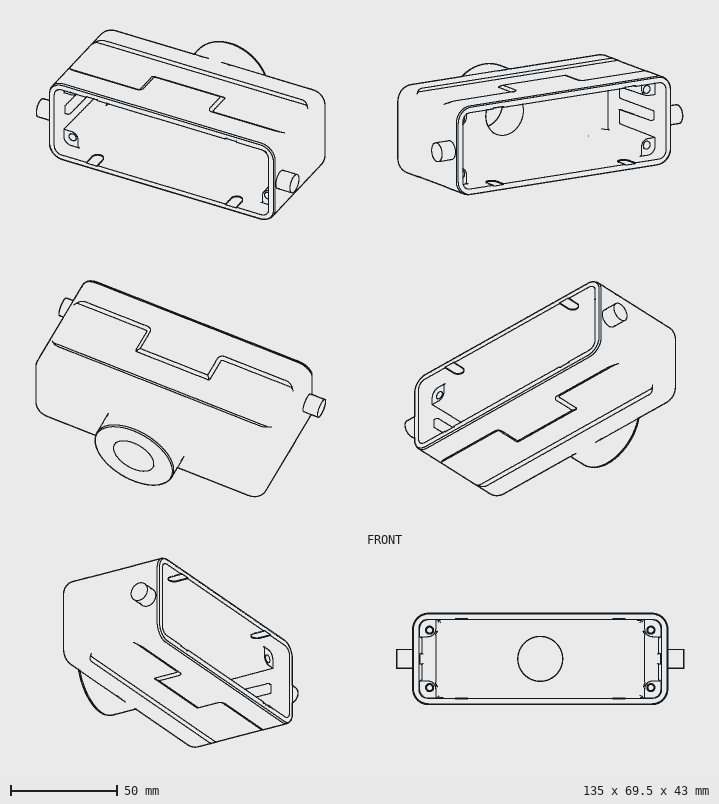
import cadquery as cq
import math

BODY_LENGTH = 120.0
BODY_HEIGHT = 43.0
BODY_DEPTH = 55.0
BODY_CORNER_RADIUS = 7.5
BACK_EDGE_RADIUS = 5.0
RIM_CHAMFER_DEPTH = 1.0
RIM_CHAMFER_WIDTH = 0.4

OVERALL_DEPTH = 69.5
NECK_DIAMETER = 41.0
NECK_BASE_FILLET = 1.0
NECK_CHAMFER_DEPTH = 0.9
NECK_CHAMFER_WIDTH = 0.3
ENTRY_DIAMETER = 21.0

OVERALL_LENGTH = 135.0
PIN_DIAMETER = 9.0
PIN_Y = 6.25

WALL = 3.0
CAVITY_CORNER_RADIUS = 4.0
FLOOR_Y = BODY_DEPTH - 3.5
FLOOR_FILLET = 0.95
FLOOR_HALF_LENGTH = 47.85
SIDE_DRAFT = 0.35
RIM_HALF_LENGTH = BODY_LENGTH / 2 - WALL
RIM_HALF_HEIGHT = BODY_HEIGHT / 2 - WALL
FLOOR_HALF_HEIGHT = RIM_HALF_HEIGHT - SIDE_DRAFT

SHELF_Y = 38.0
SHELF_EDGE_X = 49.1
END_DRAFT = 1.4
SHELF_FILLET = 0.9
SHELF_HALF_LENGTH = RIM_HALF_LENGTH - END_DRAFT
SHELF_HALF_HEIGHT = RIM_HALF_HEIGHT - SIDE_DRAFT * SHELF_Y / FLOOR_Y

BOSS_TIP_Y = 9.0
BOSS_TIP_X = SHELF_EDGE_X
BOSS_TIP_Z = 10.4
BOSS_CORNER_RADIUS = 3.7
BOSS_DRAFT_ANGLE = 1.4
BOSS_WALL_FILLET = 0.8
SCREW_X = 52.0
SCREW_Z = 13.5
SCREW_MOUTH_DIAMETER = 3.8
SCREW_BOTTOM_DIAMETER = 2.9
SCREW_DEPTH = 14.0

RIB_TIP_Y = 10.0
RIB_CENTRE_X = 55.7
RIB_RADIUS = 2.3
RIB_TIP_FILLET = 0.5
RIB_DRAFT_ANGLE = 0.8

NOTCH_X = 37.0
NOTCH_WIDTH = 5.7
NOTCH_LENGTH = 8.6
NOTCH_DEPTH = 0.4

RECESS_DEPTH = 1.0
RECESS_WALL_ANGLE = 60.0
RECESS_FRONT_Y = 14.7
RECESS_BACK_Y = 40.15
TAB_HALF_WIDTH = 19.35
TAB_BACK_Y = 27.8
TAB_CORNER_RADIUS = 0.8
RECESS_END_RADIUS = 3.0
RECESS_FLOOR_Z = BODY_HEIGHT / 2 - RECESS_DEPTH
RECESS_END_X = (
    BODY_LENGTH / 2
    - BODY_CORNER_RADIUS
    + math.sqrt(BODY_CORNER_RADIUS**2 - (BODY_CORNER_RADIUS - RECESS_DEPTH) ** 2)
)

MARGIN = 1.0
EDGE_TOLERANCE = 0.05


def front_plane(y):
    """Plane at depth y whose local axes are X and Z and whose normal points to -Y."""
    return cq.Workplane("XZ", origin=(0, y, 0))


def body():
    """Solid block with rounded long edges, a rounded back and a chamfered front rim."""
    block = front_plane(0).rect(BODY_LENGTH, BODY_HEIGHT).extrude(-BODY_DEPTH)
    block = block.edges("|Y").fillet(BODY_CORNER_RADIUS)
    block = block.faces(">Y").edges().fillet(BACK_EDGE_RADIUS)
    rim = block.faces("<Y")
    return rim.chamfer(RIM_CHAMFER_DEPTH, RIM_CHAMFER_WIDTH)


def add_neck(part):
    """Cable entry neck, blended into the back of the body."""
    neck = front_plane(FLOOR_Y).circle(NECK_DIAMETER / 2).extrude(FLOOR_Y - OVERALL_DEPTH)
    part = part.union(neck)
    base = cq.selectors.BoxSelector(
        (-NECK_DIAMETER, BODY_DEPTH - BACK_EDGE_RADIUS, -BODY_HEIGHT),
        (NECK_DIAMETER, BODY_DEPTH + MARGIN, BODY_HEIGHT),
        boundingbox=True,
    )
    part = part.edges(base).edges("not(|X)").fillet(NECK_BASE_FILLET)
    return part.faces(">Y").chamfer(NECK_CHAMFER_DEPTH, NECK_CHAMFER_WIDTH)


def recess_cutter():
    """U-shaped tool below the upper face; its walls lean outward and its ends run past the body."""
    end_x = BODY_LENGTH
    outline = [
        (-end_x, RECESS_FRONT_Y),
        (-TAB_HALF_WIDTH, RECESS_FRONT_Y),
        (-TAB_HALF_WIDTH, TAB_BACK_Y),
        (TAB_HALF_WIDTH, TAB_BACK_Y),
        (TAB_HALF_WIDTH, RECESS_FRONT_Y),
        (end_x, RECESS_FRONT_Y),
        (end_x, RECESS_BACK_Y),
        (-end_x, RECESS_BACK_Y),
    ]
    floor = cq.Sketch().polygon(outline + outline[:1])
    tab_area = cq.selectors.BoxSelector(
        (-TAB_HALF_WIDTH - MARGIN, RECESS_FRONT_Y - MARGIN, -MARGIN),
        (TAB_HALF_WIDTH + MARGIN, TAB_BACK_Y + MARGIN, MARGIN),
    )
    floor = floor.vertices(tab_area).fillet(TAB_CORNER_RADIUS).reset()
    floor_plane = cq.Workplane("XY", origin=(0, 0, RECESS_FLOOR_Z))
    return floor_plane.placeSketch(floor).extrude(RECESS_DEPTH, taper=-RECESS_WALL_ANGLE)


def cut_recesses(part):
    """Recess both broad faces and round the floor edges that run out into the body corners."""
    upper = recess_cutter()
    part = part.cut(upper).cut(upper.mirror("XY"))
    for end in (-1, 1):
        for face in (-1, 1):
            edge = cq.selectors.NearestToPointSelector(
                (end * RECESS_END_X, (RECESS_FRONT_Y + RECESS_BACK_Y) / 2, face * RECESS_FLOOR_Z)
            )
            part = part.edges("|Y").edges(edge).fillet(RECESS_END_RADIUS)
    return part


def boss(end, side):
    """Drafted block filling one cavity corner, with its free corner rounded."""
    outer_x = BODY_LENGTH / 2
    outer_z = BODY_HEIGHT / 2
    block = front_plane(BOSS_TIP_Y).center(
        end * (BOSS_TIP_X + outer_x) / 2, side * (BOSS_TIP_Z + outer_z) / 2
    )
    section = cq.Sketch().rect(outer_x - BOSS_TIP_X, outer_z - BOSS_TIP_Z)
    free_corner = cq.selectors.NearestToPointSelector((-end * outer_x, -side * outer_x, 0))
    section = section.vertices(free_corner).fillet(BOSS_CORNER_RADIUS).reset()
    return block.placeSketch(section).extrude(BOSS_TIP_Y - FLOOR_Y - MARGIN, taper=-BOSS_DRAFT_ANGLE)


def screw_hole(end, side):
    """Tapered blind hole in a boss."""
    hole = front_plane(BOSS_TIP_Y).center(end * SCREW_X, side * SCREW_Z).circle(SCREW_MOUTH_DIAMETER / 2)
    hole = hole.workplane(offset=-SCREW_DEPTH).circle(SCREW_BOTTOM_DIAMETER / 2)
    return hole.loft(ruled=True)


def rib(end):
    """Drafted half-round rib standing on a shelf against the end wall, rounded at its tip."""
    centre_x = end * RIB_CENTRE_X
    wall_x = end * BODY_LENGTH / 2
    profile = (
        front_plane(RIB_TIP_Y)
        .moveTo(wall_x, RIB_RADIUS)
        .lineTo(centre_x, RIB_RADIUS)
        .threePointArc((centre_x - end * RIB_RADIUS, 0), (centre_x, -RIB_RADIUS))
        .lineTo(wall_x, -RIB_RADIUS)
        .close()
    )
    block = profile.extrude(RIB_TIP_Y - SHELF_Y - MARGIN, taper=-RIB_DRAFT_ANGLE)
    return block.faces("<Y").edges("not(|Z)").fillet(RIB_TIP_FILLET)


def shelf_corner_edges(void, end):
    """Edges where the bosses and the rib rise from one shelf; the foot of the end wall stays sharp."""
    shelf_slice = cq.selectors.BoxSelector(
        (end * SHELF_EDGE_X, SHELF_Y - EDGE_TOLERANCE, -BODY_HEIGHT),
        (end * (SHELF_HALF_LENGTH - EDGE_TOLERANCE), SHELF_Y + EDGE_TOLERANCE, BODY_HEIGHT),
    )
    return void.edges(shelf_slice)


def boss_wall_edge(void, end, side):
    """Edge where one boss meets the long wall beside it."""
    mid_y = (BOSS_TIP_Y + FLOOR_Y) / 2
    near = cq.selectors.NearestToPointSelector((end * BOSS_TIP_X, mid_y, side * RIM_HALF_HEIGHT))
    return void.edges(near)


def cavity():
    """Void inside the body, with the bosses and ribs left out of it."""
    front = front_plane(0).placeSketch(
        cq.Sketch().rect(2 * RIM_HALF_LENGTH, 2 * RIM_HALF_HEIGHT).vertices().fillet(CAVITY_CORNER_RADIUS),
        cq.Sketch()
        .rect(2 * SHELF_HALF_LENGTH, 2 * SHELF_HALF_HEIGHT)
        .vertices()
        .fillet(CAVITY_CORNER_RADIUS)
        .moved(cq.Location(cq.Vector(0, 0, -SHELF_Y))),
    )
    front = front.loft(ruled=True)
    back = front_plane(SHELF_Y).rect(2 * SHELF_EDGE_X, 2 * SHELF_HALF_HEIGHT)
    back = back.workplane(offset=SHELF_Y - FLOOR_Y).rect(2 * FLOOR_HALF_LENGTH, 2 * FLOOR_HALF_HEIGHT)
    back = back.loft(ruled=True).faces(">Y").edges().fillet(FLOOR_FILLET)
    void = front.union(back)
    for end in (-1, 1):
        void = void.cut(rib(end))
        for side in (-1, 1):
            void = void.cut(boss(end, side))
    for end in (-1, 1):
        void = shelf_corner_edges(void, end).fillet(SHELF_FILLET)
        for side in (-1, 1):
            void = boss_wall_edge(void, end, side).fillet(BOSS_WALL_FILLET)
            void = void.union(screw_hole(end, side))
    return void


def rim_notch(x):
    """Round-ended notch that reaches both long walls of the rim."""
    straight = NOTCH_LENGTH - NOTCH_WIDTH / 2
    height = 2 * (RIM_HALF_HEIGHT + NOTCH_DEPTH)
    plane = cq.Workplane("XY", origin=(x, 0, -height / 2))
    slot = plane.center(0, straight / 2).rect(NOTCH_WIDTH, straight).extrude(height)
    return slot.union(plane.center(0, straight).circle(NOTCH_WIDTH / 2).extrude(height))


def pin(end):
    """Locking pin on one end wall."""
    root_x = RIM_HALF_LENGTH + WALL / 2
    plane = cq.Workplane("YZ", origin=(end * root_x, PIN_Y, 0))
    return plane.circle(PIN_DIAMETER / 2).extrude(end * (OVERALL_LENGTH / 2 - root_x))


result = cut_recesses(add_neck(body()))
result = result.cut(cavity())
result = result.cut(front_plane(0).circle(ENTRY_DIAMETER / 2).extrude(-OVERALL_DEPTH))
for sign in (-1, 1):
    result = result.cut(rim_notch(sign * NOTCH_X))
    result = result.union(pin(sign))